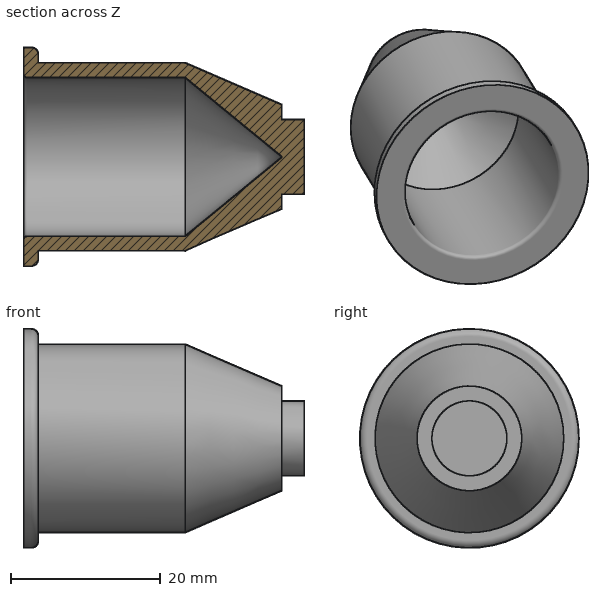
import cadquery as cq

total_length = 37.5
flange_thickness = 2.0
body_end = 21.55
nose_end = 34.5

flange_diameter = 29.3
body_diameter = 25.2
nose_tip_diameter = 14.0
spigot_diameter = 10.0

bore_diameter = 21.2
bore_depth = body_end
bore_tip_depth = nose_end

flange_round = 0.98
mouth_round = 0.5


def revolve_about_x(profile):
    """Turn a closed half profile, drawn in the XY plane, about the X axis."""
    return profile.close().revolve(360, (0, 0, 0), (1, 0, 0))


def make_outside():
    """Flange with a rounded body-side edge, cylindrical body, conical nose and spigot."""
    flange_radius = flange_diameter / 2
    profile = (
        cq.Workplane("XY")
        .lineTo(0, flange_radius)
        .lineTo(flange_thickness - flange_round, flange_radius)
        .radiusArc((flange_thickness, flange_radius - flange_round), flange_round)
        .lineTo(flange_thickness, body_diameter / 2)
        .lineTo(body_end, body_diameter / 2)
        .lineTo(nose_end, nose_tip_diameter / 2)
        .lineTo(nose_end, spigot_diameter / 2)
        .lineTo(total_length, spigot_diameter / 2)
        .lineTo(total_length, 0)
    )
    return revolve_about_x(profile)


def make_bore():
    """Bore with a rounded mouth and a conical bottom."""
    bore_radius = bore_diameter / 2
    profile = (
        cq.Workplane("XY")
        .lineTo(0, bore_radius + mouth_round)
        .radiusArc((mouth_round, bore_radius), -mouth_round)
        .lineTo(bore_depth, bore_radius)
        .lineTo(bore_tip_depth, 0)
    )
    return revolve_about_x(profile)


result = make_outside().cut(make_bore())